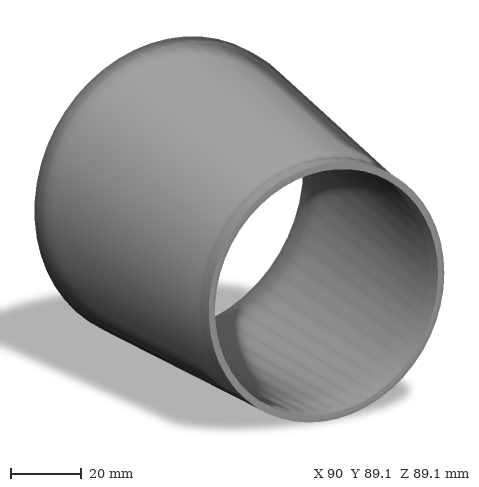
import cadquery as cq

length = 90.0
collar_length = 5.0
large_outer_diameter = 89.1
large_bore_diameter = 85.1
small_outer_diameter = 76.3
small_bore_diameter = 72.3

taper_length = length - 2 * collar_length
axis_drop = (large_outer_diameter - small_outer_diameter) / 2


def reducer_solid(large_diameter, small_diameter):
    """Straight large collar, eccentric taper and straight small collar, all solid."""
    large_collar = cq.Workplane("YZ").circle(large_diameter / 2).extrude(collar_length)
    taper = (
        cq.Workplane("YZ", origin=(collar_length, 0, 0))
        .circle(large_diameter / 2)
        .workplane(offset=taper_length)
        .center(0, -axis_drop)
        .circle(small_diameter / 2)
        .loft(ruled=True)
    )
    small_collar = (
        cq.Workplane("YZ", origin=(length - collar_length, 0, -axis_drop))
        .circle(small_diameter / 2)
        .extrude(collar_length)
    )
    return large_collar.union(taper).union(small_collar)


outer_body = reducer_solid(large_outer_diameter, small_outer_diameter)
bore = reducer_solid(large_bore_diameter, small_bore_diameter)
result = outer_body.cut(bore)